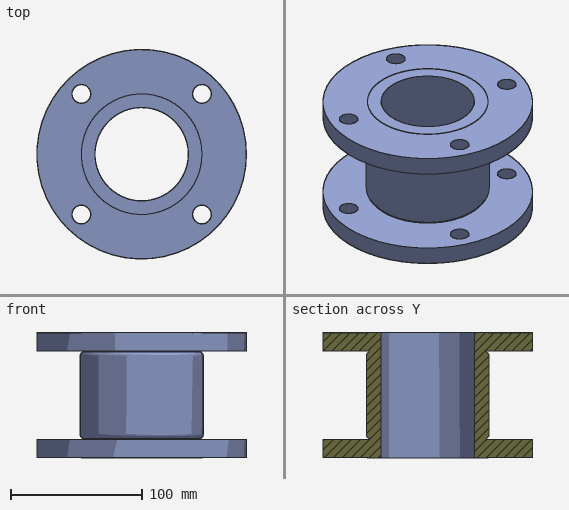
import cadquery as cq

flange_diameter = 160.0
overall_height = 96.0
flange_thickness = 14.0

bore_diameter = 71.0
ring_diameter = 92.0
ring_height = 0.3

sleeve_diameter = 94.0
sleeve_edge_radius = 3.2
neck_diameter = 90.0
neck_length = 0.5

bolt_spacing = 92.0
bolt_hole_diameter = 14.0

ring_top = overall_height / 2
flange_top = ring_top - ring_height
flange_bottom = flange_top - flange_thickness
sleeve_top = flange_bottom - neck_length


def disc(diameter, bottom, top):
    """Solid cylinder on the Z axis between two heights."""
    return cq.Workplane("XY").workplane(offset=bottom).circle(diameter / 2).extrude(top - bottom)


def sleeve():
    """Thick middle section with rounded end edges."""
    return disc(sleeve_diameter, -sleeve_top, sleeve_top).edges().fillet(sleeve_edge_radius)


def upper_flange():
    """Round plate with the raised ring on its outer face and the neck below it."""
    plate = disc(flange_diameter, flange_bottom, flange_top)
    ring = disc(ring_diameter, flange_bottom, ring_top)
    neck = disc(neck_diameter, 0, flange_bottom)
    return plate.union(ring).union(neck)


def bolt_holes():
    """Cutting cylinders for the bolt holes, running through both flanges."""
    return (
        cq.Workplane("XY")
        .rect(bolt_spacing, bolt_spacing, forConstruction=True)
        .vertices()
        .circle(bolt_hole_diameter / 2)
        .extrude(ring_top, both=True)
    )


top_end = upper_flange()
bottom_end = top_end.mirror("XY")
bore = disc(bore_diameter, -ring_top, ring_top)

result = sleeve().union(top_end).union(bottom_end).cut(bolt_holes()).cut(bore)